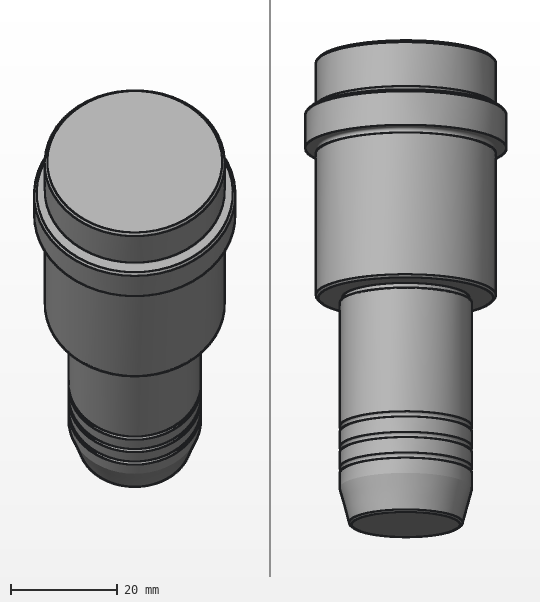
import cadquery as cq
import math

TOTAL_LENGTH = 90.0
BODY_RADIUS = 17.0
FLANGE_RADIUS = 19.0
SHANK_RADIUS = 12.5

TAPER_LENGTH = 7.0
BODY_BOTTOM = 44.0
FLANGE_BOTTOM = 73.0
FLANGE_TOP = 80.0

TAPER_ANGLE = 15.0
TIP_RADIUS = SHANK_RADIUS - TAPER_LENGTH * math.tan(math.radians(TAPER_ANGLE))
TIP_CHAMFER = 0.4

EDGE_CHAMFER = 0.5

GROOVE_RADIUS = 0.5
SHANK_GROOVE_BOTTOMS = (10.0, 14.0, 18.0)
FLANGE_GROOVE_BOTTOMS = (FLANGE_BOTTOM - 2 * GROOVE_RADIUS, FLANGE_TOP)

NECK_RADIUS = 12.0
NECK_LENGTH = 1.0
SHANK_TOP = BODY_BOTTOM - NECK_LENGTH


def cylinder(radius, bottom, top):
    """Cylinder on the Z axis between two heights."""
    return cq.Workplane("XY").workplane(offset=bottom).circle(radius).extrude(top - bottom)


def round_groove(radius, bottom):
    """Cutter for a half-round groove around a cylinder, made of two quarter arcs meeting at its root."""
    middle = bottom + GROOVE_RADIUS
    arc_offset = GROOVE_RADIUS * math.sqrt(0.5)
    profile = (
        cq.Workplane("XZ")
        .moveTo(radius, bottom)
        .threePointArc((radius - arc_offset, middle - arc_offset), (radius - GROOVE_RADIUS, middle))
        .threePointArc((radius - arc_offset, middle + arc_offset), (radius, middle + GROOVE_RADIUS))
        .close()
    )
    return profile.revolve(360, (0, 0), (0, 1), clean=False)


def make_shank():
    """Shank with a tapered lead-in, half-round grooves and a straight neck under the body."""
    taper = cq.Workplane(cq.Solid.makeCone(TIP_RADIUS, SHANK_RADIUS, TAPER_LENGTH))
    taper = taper.faces("<Z").edges().chamfer(TIP_CHAMFER)
    shank = taper.union(cylinder(SHANK_RADIUS, TAPER_LENGTH, SHANK_TOP))
    for bottom in SHANK_GROOVE_BOTTOMS:
        shank = shank.cut(round_groove(SHANK_RADIUS, bottom), clean=False)
    return shank.union(cylinder(NECK_RADIUS, SHANK_TOP, BODY_BOTTOM), clean=False)


def make_body():
    """Body and head in one cylinder, with a flange between two half-round grooves."""
    body = cylinder(BODY_RADIUS, BODY_BOTTOM, TOTAL_LENGTH)
    body = body.faces("<Z or >Z").edges().chamfer(EDGE_CHAMFER)
    for bottom in FLANGE_GROOVE_BOTTOMS:
        body = body.cut(round_groove(BODY_RADIUS, bottom), clean=False)
    flange = cylinder(FLANGE_RADIUS, FLANGE_BOTTOM, FLANGE_TOP)
    flange = flange.faces(">Z").edges().chamfer(EDGE_CHAMFER)
    return body.union(flange, clean=False)


result = make_shank().union(make_body(), clean=False)